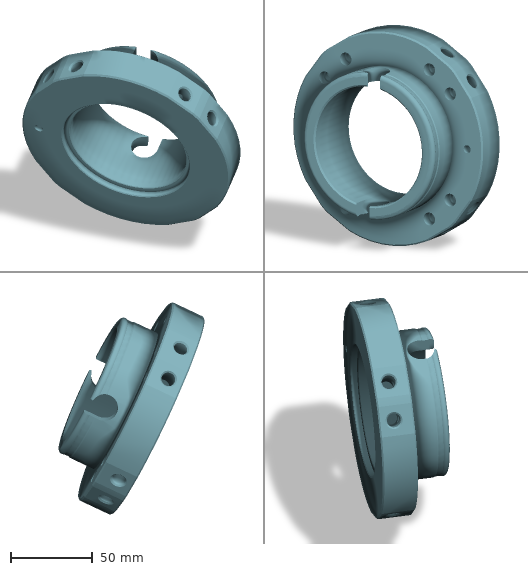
import cadquery as cq
import math

length = 46.0
bore_radius = 75 / 2

flange_radius = 134 / 2
flange_thickness = 22.0
flange_chamfer = 1.0

flat_angles = (37.0, 57.8)
flat_distance = 66.3
spanner_hole_diameter = 8.6
spanner_hole_depth = 16.1
countersink_diameter = 10.5
spanner_hole_y = 9.5

flat_directions = [
    side
    for angle in flat_angles
    for side in (angle, 180 - angle, 180 + angle, 360 - angle)
]

cross_hole_diameter = 6.0
cross_hole_radial = 55.3
counterbore_diameter = 8.0
counterbore_depth = 5.6

hub_radius = 91.9 / 2
lip_radius = 2.5
groove_depth = 0.47
groove_width = 3.2
groove_chamfer_length = 0.8

recess_radius = 82.0 / 2
recess_depth = 4.0
recess_chamfer = 0.5
bore_front_chamfer = 0.4
bore_rear_chamfer = 1.0

pin_hole_diameter = 5.0
pin_countersink_diameter = 5.5
pin_hole_x = -56.1

slot_end_radius = 8.3
slot_end_offset = 0.1
slot_end_y = 36.0
slot_inner_edge = 1.0


def front_workplane(y):
    """Workplane facing -Y at the given y, with X to the right and Z up."""
    return cq.Workplane("XZ", origin=(0, y, 0))


def make_flange():
    """Chamfered disc, trimmed by blocks that each leave two opposite flats."""
    flange = front_workplane(0).circle(flange_radius).extrude(-flange_thickness)
    flange = flange.edges("%CIRCLE").chamfer(flange_chamfer)
    block = (
        cq.Workplane("XY")
        .box(2 * flat_distance, flange_thickness, 4 * flange_radius)
        .edges("|Z")
        .chamfer(flange_chamfer)
        .translate((0, flange_thickness / 2, 0))
    )
    for angle in flat_angles:
        for tilt in (angle, -angle):
            flange = flange.intersect(block.rotate((0, 0, 0), (0, 1, 0), tilt))
    return flange


def make_hub():
    groove_radius = hub_radius - groove_depth
    lip_centre_r = hub_radius - lip_radius
    lip_centre_y = length - lip_radius
    groove_end = lip_centre_y - math.sqrt(lip_radius**2 - (lip_radius - groove_depth) ** 2)
    groove_start = groove_end - groove_width
    arc_middle = lip_radius * math.sqrt(0.5)
    return (
        cq.Workplane("XY")
        .moveTo(0, flange_thickness / 2)
        .lineTo(hub_radius, flange_thickness / 2)
        .lineTo(hub_radius, groove_start - groove_chamfer_length)
        .lineTo(groove_radius, groove_start)
        .lineTo(groove_radius, groove_end)
        .threePointArc((lip_centre_r + arc_middle, lip_centre_y + arc_middle), (lip_centre_r, length))
        .lineTo(0, length)
        .close()
        .revolve(360, (0, 0, 0), (0, 1, 0))
    )


def make_bore():
    """Revolved cutter for the bore, its front recess and the edge chamfers."""
    return (
        cq.Workplane("XY")
        .moveTo(0, 0)
        .lineTo(recess_radius + recess_chamfer, 0)
        .lineTo(recess_radius, recess_chamfer)
        .lineTo(recess_radius, recess_depth)
        .lineTo(bore_radius + bore_front_chamfer, recess_depth)
        .lineTo(bore_radius, recess_depth + bore_front_chamfer)
        .lineTo(bore_radius, length - bore_rear_chamfer)
        .lineTo(bore_radius + bore_rear_chamfer, length)
        .lineTo(0, length)
        .close()
        .revolve(360, (0, 0, 0), (0, 1, 0))
    )


def make_spanner_hole(angle):
    """Blind hole with a 45 degree countersink, drilled inward from a flat."""
    sink_depth = (countersink_diameter - spanner_hole_diameter) / 2
    profile = (
        cq.Workplane("XY")
        .moveTo(flat_distance, 0)
        .lineTo(flat_distance, countersink_diameter / 2)
        .lineTo(flat_distance - sink_depth, spanner_hole_diameter / 2)
        .lineTo(flat_distance - spanner_hole_depth, spanner_hole_diameter / 2)
        .lineTo(flat_distance - spanner_hole_depth, 0)
        .close()
    )
    hole = profile.revolve(360, (0, 0, 0), (1, 0, 0))
    return hole.translate((0, spanner_hole_y, 0)).rotate((0, 0, 0), (0, 1, 0), -angle)


def make_cross_hole(angle):
    """Counterbored hole parallel to the axis that meets a spanner hole."""
    drill = (
        front_workplane(spanner_hole_y)
        .center(cross_hole_radial, 0)
        .circle(cross_hole_diameter / 2)
        .extrude(spanner_hole_y - flange_thickness)
    )
    counterbore = (
        front_workplane(flange_thickness)
        .center(cross_hole_radial, 0)
        .circle(counterbore_diameter / 2)
        .extrude(counterbore_depth)
    )
    return drill.union(counterbore).rotate((0, 0, 0), (0, 1, 0), -angle)


def make_pin_hole():
    """Through hole with a 45 degree countersink at the front face."""
    drill = (
        front_workplane(0)
        .center(pin_hole_x, 0)
        .circle(pin_hole_diameter / 2)
        .extrude(-flange_thickness)
    )
    sink_radius = pin_countersink_diameter / 2
    sink = cq.Solid.makeCone(sink_radius, 0, sink_radius, cq.Vector(pin_hole_x, 0, 0), cq.Vector(0, 1, 0))
    return drill.union(cq.Workplane(sink))


def make_slot():
    """Slot through the +Z hub wall: a round end that opens to the rear."""
    outer_edge = -slot_end_offset - slot_end_radius
    slot_width = slot_inner_edge - outer_edge
    round_end = (
        cq.Workplane("XY")
        .center(-slot_end_offset, slot_end_y)
        .circle(slot_end_radius)
        .extrude(flange_radius)
    )
    mouth = (
        cq.Workplane("XY")
        .center(outer_edge + slot_width / 2, (slot_end_y + length) / 2)
        .rect(slot_width, length - slot_end_y)
        .extrude(flange_radius)
    )
    return round_end.union(mouth)


result = make_flange().union(make_hub()).cut(make_bore())

for direction in flat_directions:
    result = result.cut(make_spanner_hole(direction)).cut(make_cross_hole(direction))

result = result.cut(make_pin_hole())

top_slot = make_slot()
bottom_slot = top_slot.rotate((0, 0, 0), (0, 1, 0), 180)
result = result.cut(top_slot).cut(bottom_slot)